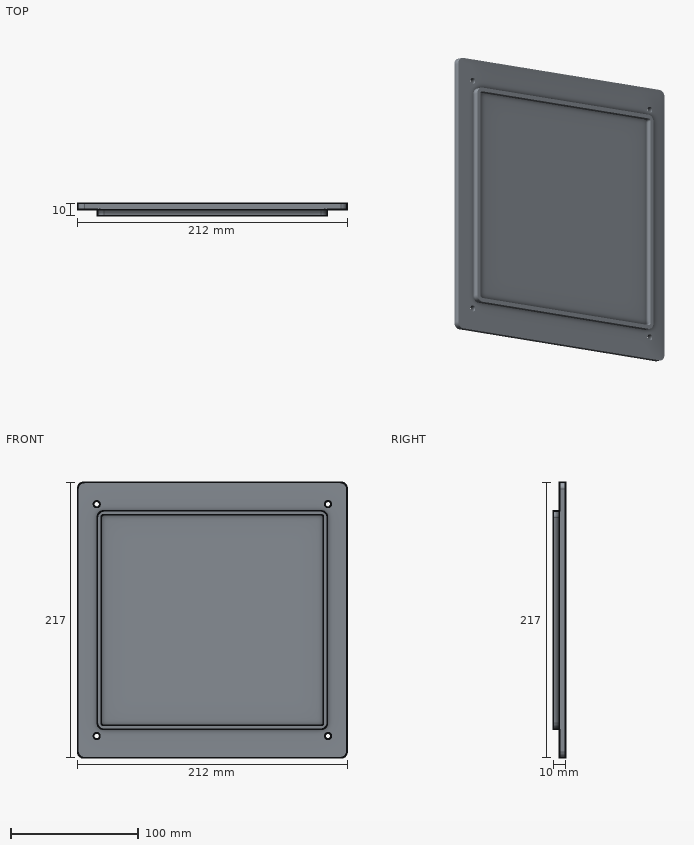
import cadquery as cq

plate_width = 212.0
plate_height = 217.0
total_depth = 10.0
plate_thickness = total_depth / 2
plate_corner_radius = 5.0

rim_width = 181.0
rim_height = 171.9
rim_wall = 3.0
rim_corner_radius = 5.0
rim_projection = total_depth - plate_thickness

hole_diameter = 4.8
hole_spacing_x = 182.0
hole_spacing_z = 182.5


def rounded_block(width, height, depth, corner_radius):
    """Block with rounded corners, from the XZ plane towards -Y."""
    return (
        cq.Workplane("XZ")
        .rect(width, height)
        .extrude(depth)
        .edges("|Y")
        .fillet(corner_radius)
    )


def make_plate():
    """Flange plate, with its front face on the XZ plane."""
    plate = rounded_block(plate_width, plate_height, plate_thickness, plate_corner_radius)
    holes = (
        cq.Workplane("XZ")
        .rect(hole_spacing_x, hole_spacing_z, forConstruction=True)
        .vertices()
        .circle(hole_diameter / 2)
        .extrude(plate_thickness)
    )
    return plate.cut(holes).translate((0, plate_thickness, 0))


def make_rim():
    """Thin rectangular frame of constant wall thickness."""
    outer = rounded_block(rim_width, rim_height, rim_projection, rim_corner_radius)
    inner = rounded_block(
        rim_width - 2 * rim_wall,
        rim_height - 2 * rim_wall,
        rim_projection,
        rim_corner_radius - rim_wall,
    )
    return outer.cut(inner)


result = make_plate().union(make_rim())